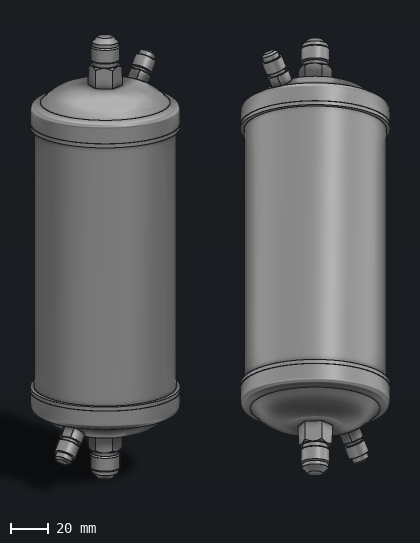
import cadquery as cq
import math

total_length = 244.0
tip_height = total_length / 2

body_radius = 37.8
cap_radius = 40.0
band_radius = 39.8
cap_rim_height = 71.7
lip_height = 2.2
corner_radius = 3.0
corner_base_height = 82.0
shoulder_slope = math.radians(13)
cap_shoulder_height = 85.5

dome_top_height = 95.2
dome_flat_radius = 15.1
dome_arc_radius = 23.2
dome_arc_angle = math.radians(45)

hex_start = 15.5
hex_flats = 15.9
joint_overlap = 2.5

side_tilt = 38.0
side_tip_y = 40.7
side_tip_z = 104.0
side_stem_length = 22.5
collar_start = 12.7
collar_radius = 6.0
collar_flats = 10.7


def make_shell_half():
    """Upper half of the canister: plain tube with a domed cap over its end."""
    arc_centre_z = dome_top_height - dome_arc_radius

    def dome_point(angle):
        return (
            dome_flat_radius + dome_arc_radius * math.sin(angle),
            arc_centre_z + dome_arc_radius * math.cos(angle),
        )

    cone_top_radius, cone_top_height = dome_point(dome_arc_angle)
    cone_drop = cone_top_height - cap_shoulder_height
    cone_base_radius = cone_top_radius + cone_drop / math.tan(dome_arc_angle)
    lip_top = cap_rim_height + lip_height

    def corner_point(angle):
        return (
            band_radius - corner_radius + corner_radius * math.sin(angle),
            corner_base_height + corner_radius * math.cos(angle),
        )

    corner_middle_angle = (shoulder_slope + math.pi / 2) / 2

    profile = (
        cq.Workplane("XZ")
        .lineTo(body_radius, 0)
        .lineTo(body_radius, cap_rim_height)
        .lineTo(cap_radius, cap_rim_height)
        .lineTo(cap_radius, lip_top)
        .lineTo(band_radius, lip_top)
        .lineTo(band_radius, corner_base_height)
        .threePointArc(corner_point(corner_middle_angle), corner_point(shoulder_slope))
        .lineTo(cone_base_radius, cap_shoulder_height)
        .lineTo(cone_top_radius, cone_top_height)
        .threePointArc(dome_point(dome_arc_angle / 2), (dome_flat_radius, dome_top_height))
        .lineTo(0, dome_top_height)
        .close()
    )
    return profile.revolve(360, (0, 0, 0), (0, 1, 0))


def make_stem(
    tip_radius,
    nose_radius,
    thread_radius,
    groove_radius,
    nose_length,
    thread_end,
    bevel_length,
    stem_length,
):
    """Turned flare stem pointing up, tip at the origin; lengths run down from the tip."""
    flare_length = nose_radius - tip_radius
    return (
        cq.Workplane("XZ")
        .lineTo(tip_radius, 0)
        .lineTo(nose_radius, -flare_length)
        .lineTo(nose_radius, -nose_length)
        .lineTo(thread_radius, -nose_length - bevel_length)
        .lineTo(thread_radius, -thread_end)
        .lineTo(groove_radius, -thread_end - bevel_length)
        .lineTo(groove_radius, -stem_length)
        .lineTo(0, -stem_length)
        .close()
        .revolve(360, (0, 0, 0), (0, 1, 0))
    )


def make_end_fitting():
    """Main connection on the canister axis, hexagon corners on the Y axis."""
    stem_length = tip_height - dome_top_height + joint_overlap
    stem = make_stem(
        tip_radius=4.1,
        nose_radius=7.0,
        thread_radius=7.8,
        groove_radius=6.8,
        nose_length=5.0,
        thread_end=12.7,
        bevel_length=0.7,
        stem_length=stem_length,
    )
    hex_corners = hex_flats / math.cos(math.radians(30))
    hex_length = stem_length - hex_start
    base = cq.Workplane("XY", origin=(0, 0, -stem_length))
    nut = base.polygon(6, hex_corners).extrude(hex_length).rotate((0, 0, 0), (0, 0, 1), 90)
    corner_trim = (
        base.circle(hex_corners / 2)
        .extrude(hex_length)
        .faces(">Z")
        .chamfer((hex_corners - hex_flats) / 2)
    )
    return stem.union(nut.intersect(corner_trim)).translate((0, 0, tip_height))


def make_side_fitting():
    """Small connection leaning out of the dome; its round collar has two wrench flats."""
    stem = make_stem(
        tip_radius=3.5,
        nose_radius=4.6,
        thread_radius=5.9,
        groove_radius=4.6,
        nose_length=4.0,
        thread_end=10.7,
        bevel_length=0.2,
        stem_length=side_stem_length,
    )
    collar_length = side_stem_length - collar_start
    base = cq.Workplane("XY", origin=(0, 0, -side_stem_length))
    flats = base.rect(2 * collar_radius, collar_flats).extrude(collar_length)
    collar = base.circle(collar_radius).extrude(collar_length).intersect(flats)
    return (
        stem.union(collar)
        .rotate((0, 0, 0), (1, 0, 0), -side_tilt)
        .translate((0, side_tip_y, side_tip_z))
    )


upper_half = make_shell_half().union(make_end_fitting()).union(make_side_fitting())

lower_half = upper_half.rotate((0, 0, 0), (1, 0, 0), 180)

result = upper_half.union(lower_half).clean()